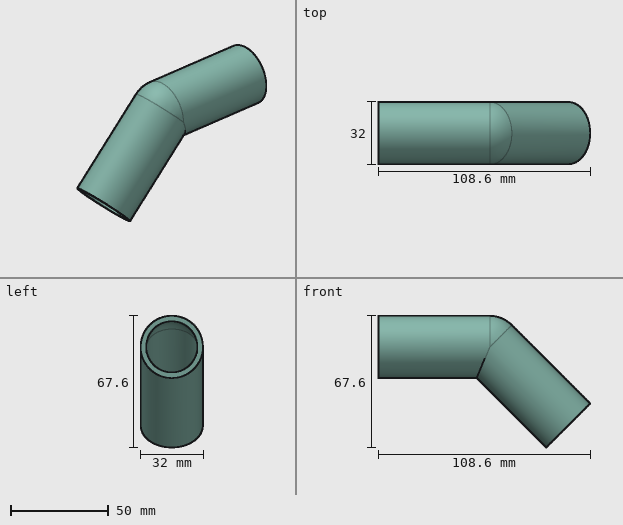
import cadquery as cq
import math

outer_diameter = 32.0
bore_diameter = 26.2
leg_length = 57.0
bend_angle = math.radians(45.0)

corner = cq.Vector(0, 0, 0)
inlet_direction = cq.Vector(-1, 0, 0)
outlet_direction = cq.Vector(math.cos(bend_angle), 0, -math.sin(bend_angle))


def leg(diameter, direction):
    """Solid cylinder running from the corner centre to one open end."""
    return cq.Workplane(cq.Solid.makeCylinder(diameter / 2, leg_length, corner, direction))


def bent_rod(diameter):
    """Two cylindrical legs joined by a ball of the same diameter."""
    ball = cq.Workplane("XY").sphere(diameter / 2)
    return leg(diameter, inlet_direction).union(leg(diameter, outlet_direction)).union(ball)


result = bent_rod(outer_diameter).cut(bent_rod(bore_diameter))